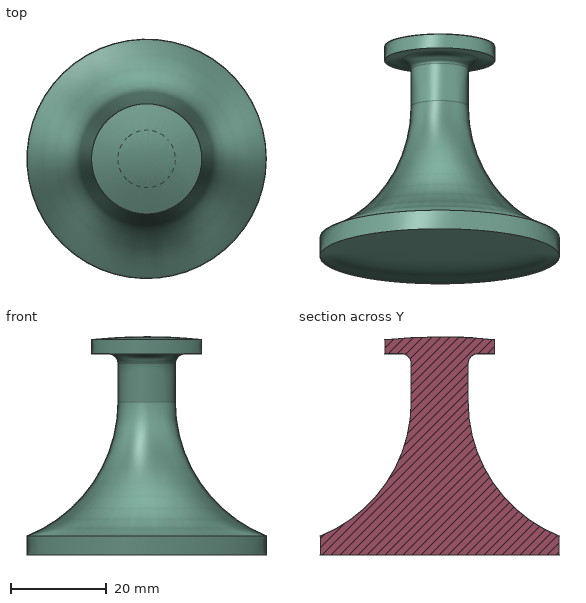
import cadquery as cq
import math

base_radius = 25.0
base_thickness = 4.0
neck_radius = 6.0
neck_bottom = 32.0
neck_length = 8.0
cap_fillet = 2.0
cap_radius = 11.5
cap_thickness = 3.0
dome_rise = 0.6

neck_top = neck_bottom + neck_length
cap_bottom = neck_top + cap_fillet
cap_top = cap_bottom + cap_thickness

flare_width = base_radius - neck_radius
flare_height = neck_bottom - base_thickness
flare_radius = (flare_width**2 + flare_height**2) / (2 * flare_width)
flare_angle = math.asin(flare_height / flare_radius)
flare_middle = (
    neck_radius + flare_radius * (1 - math.cos(flare_angle / 2)),
    neck_bottom - flare_radius * math.sin(flare_angle / 2),
)

fillet_middle = (
    neck_radius + cap_fillet * (1 - math.cos(math.pi / 4)),
    neck_top + cap_fillet * math.sin(math.pi / 4),
)

dome_radius = (cap_radius**2 + dome_rise**2) / (2 * dome_rise)
dome_center = cap_top + dome_rise - dome_radius
dome_half_angle = math.asin(cap_radius / dome_radius)
dome_middle = (
    dome_radius * math.sin(dome_half_angle / 2),
    dome_center + dome_radius * math.cos(dome_half_angle / 2),
)

profile = (
    cq.Workplane("XZ")
    .lineTo(base_radius, 0)
    .lineTo(base_radius, base_thickness)
    .threePointArc(flare_middle, (neck_radius, neck_bottom))
    .lineTo(neck_radius, neck_top)
    .threePointArc(fillet_middle, (neck_radius + cap_fillet, cap_bottom))
    .lineTo(cap_radius, cap_bottom)
    .lineTo(cap_radius, cap_top)
    .threePointArc(dome_middle, (0, cap_top + dome_rise))
    .close()
)

result = profile.revolve(360, (0, 0), (0, 1))